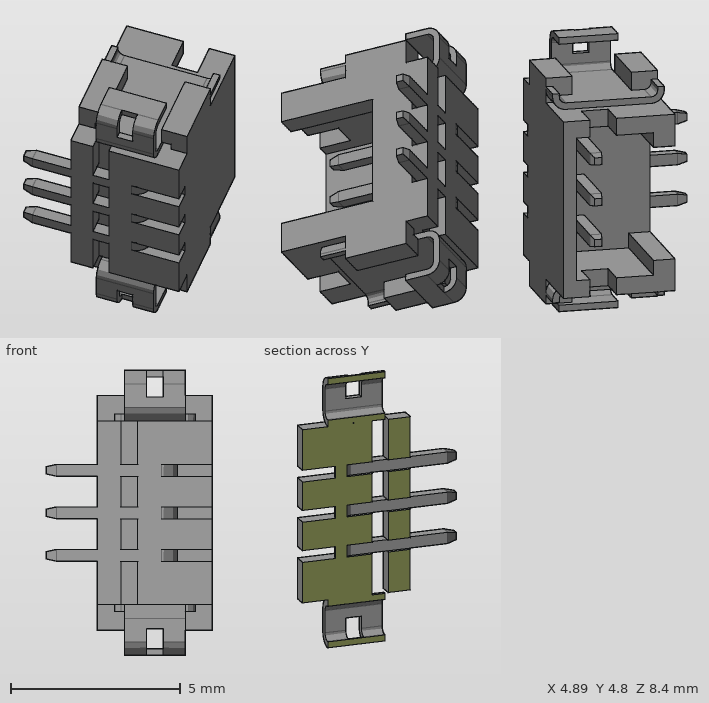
import cadquery as cq


body_width = 3.39
body_depth = 4.8
body_height = 5.41
half_width = body_width / 2
half_height = body_height / 2

cavity_depth = 2.99
cavity_height = 4.37
near_wall = 0.655
far_wall = 0.4
window_height = 3.46
cavity_floor = body_depth - cavity_depth

notch_offset = 1.78
notch_start = -half_width + notch_offset
notch_width = 0.81
notch_depth = 1.0

groove_offset = 0.7
groove_start = -half_width + groove_offset
groove_width = 0.495
groove_depth = 0.51

clip_span = 8.4
sheet = 0.2
bend_outer = 2 * sheet
bend_inner = bend_outer - sheet
clip_width = 1.8
foot_length = 1.11
clip_slot_width = 0.49
clip_slot_end = 3.42
clip_top = clip_span / 2
shoulder_width = 2.385
shoulder_start = 1.26
shoulder_radius = 0.2
wing_height = 0.495

ear_start = 0.7
ear_end = 2.7
ear_top = 3.46
wing_end = 3.51

pin_count = 3
pin_pitch = 1.25
pin_size = 0.35
pin_tip_size = 0.22
pin_tip_length = 0.3
pin_overhang = 1.5
pin_bend_inner = groove_depth - pin_size
pin_bend_outer = 0.46
pin_reach = 4.21
pin_far_offset = 2.36
pin_far_face = -half_width + pin_far_offset
pin_near_face = pin_far_face - pin_size
pin_tail_end = -half_width - pin_overhang
pin_levels = [(i - (pin_count - 1) / 2) * pin_pitch for i in range(pin_count)]


def block(x0, x1, y0, y1, z0, z1):
    """Axis-aligned block between two opposite corners."""
    return cq.Workplane("XY").box(x1 - x0, y1 - y0, z1 - z0, centered=False).translate((x0, y0, z0))


def centered_block(width, y0, y1, z0, z1):
    """Block centred on X = 0."""
    return block(-width / 2, width / 2, y0, y1, z0, z1)


def make_ears():
    """Pair of ears on the top end face, slotted for the clip plate."""
    ears = centered_block(body_width, ear_start, ear_end, half_height, ear_top)
    gap = centered_block(clip_width, ear_start, ear_end, half_height, ear_top)
    plate_slot = centered_block(shoulder_width, ear_start, ear_end, half_height, half_height + sheet)
    return ears.cut(gap).cut(plate_slot)


def make_housing():
    body = centered_block(body_width, 0, body_depth, -half_height, half_height)
    cavity = block(
        -half_width + near_wall, half_width - far_wall,
        cavity_floor, body_depth,
        -cavity_height / 2, cavity_height / 2,
    )
    window = block(
        -half_width, -half_width + near_wall,
        cavity_floor, body_depth,
        -window_height / 2, window_height / 2,
    )
    notch = block(
        notch_start, notch_start + notch_width,
        body_depth - notch_depth, body_depth,
        -half_height, half_height,
    )
    groove = block(groove_start, groove_start + groove_width, 0, groove_depth, -half_height, half_height)
    body = body.cut(cavity).cut(window).cut(notch).cut(groove)
    for level in pin_levels:
        body = body.cut(centered_block(
            body_width, 0, groove_depth, level - pin_size / 2, level + pin_size / 2))
    ears = make_ears()
    return body.union(ears).union(ears.mirror("XY"))


def make_clip():
    """Clip on the top end face: U-shaped solder foot, shouldered plate and two upturned wings."""
    outer = centered_block(clip_width, 0, foot_length, half_height, clip_top)
    outer = outer.edges("|X and <Y").fillet(bend_outer)
    inner = centered_block(clip_width, sheet, foot_length, half_height + sheet, clip_top - sheet)
    inner = inner.edges("|X and <Y").fillet(bend_inner)
    relief = centered_block(clip_slot_width, 0, bend_outer, clip_slot_end, clip_top)
    foot = outer.cut(inner).cut(relief)

    plate_top = half_height + sheet
    stem = centered_block(clip_width, foot_length, ear_end, half_height, plate_top)
    shoulder = centered_block(shoulder_width, shoulder_start, ear_end, half_height, plate_top)
    shoulder = shoulder.edges("|Z and <Y").fillet(shoulder_radius)

    wing_top = half_height + wing_height
    wings = centered_block(body_width, ear_end, wing_end, half_height, wing_top)
    wings = wings.edges("|Y and <Z").fillet(bend_outer)
    trough = centered_block(body_width - 2 * sheet, ear_end, wing_end, plate_top, wing_top)
    trough = trough.edges("|Y and <Z").fillet(bend_inner)
    return foot.union(stem).union(shoulder).union(wings.cut(trough))


def make_tip(base_center, direction, x_direction):
    """Tapered square pin end growing from base_center along direction."""
    base = cq.Plane(origin=base_center, xDir=x_direction, normal=direction)
    return (
        cq.Workplane(base)
        .rect(pin_size, pin_size)
        .workplane(offset=pin_tip_length)
        .rect(pin_tip_size, pin_tip_size)
        .loft(ruled=True)
    )


def make_pin(level):
    """Square pin: tail along -X at the board face, bent up into the cavity along +Y."""
    tail_shoulder = pin_tail_end + pin_tip_length
    reach_shoulder = pin_reach - pin_tip_length
    bar = block(
        tail_shoulder, pin_far_face, 0, reach_shoulder, level - pin_size / 2, level + pin_size / 2)
    bar = bar.edges("|Z and >X and <Y").fillet(pin_bend_outer)
    corner = block(
        tail_shoulder, pin_near_face, pin_size, reach_shoulder, level - pin_size / 2, level + pin_size / 2)
    corner = corner.edges("|Z and >X and <Y").fillet(pin_bend_inner)
    tail_tip = make_tip((tail_shoulder, pin_size / 2, level), (-1, 0, 0), (0, 1, 0))
    mating_tip = make_tip((pin_far_face - pin_size / 2, reach_shoulder, level), (0, 1, 0), (1, 0, 0))
    return bar.cut(corner).union(tail_tip).union(mating_tip)


result = make_housing()
for pin_level in pin_levels:
    result = result.union(make_pin(pin_level))
clip = make_clip()
result = result.union(clip).union(clip.mirror("XY"))